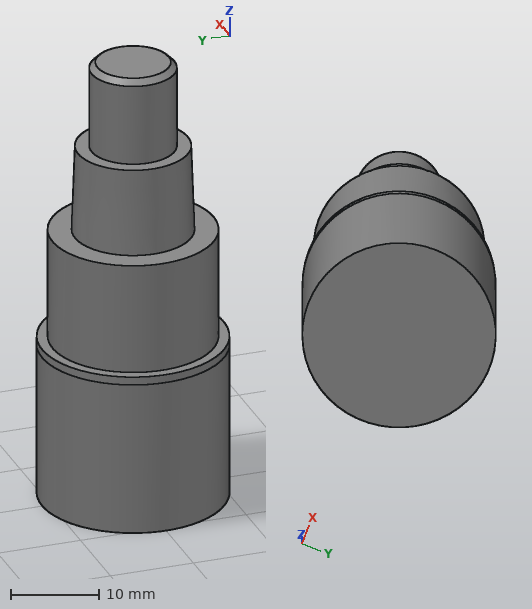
import math

import cadquery as cq

total_height = 54.0
base_height = 18.65
collar_thickness = 0.95
shoulder_top_z = 33.0
neck_top_z = 43.5

base_diameter = 22.0
shoulder_diameter = 19.45
neck_bottom_diameter = 14.0
tip_diameter = 10.0

taper_angle = 2.0
tip_chamfer = 0.7


def tapered_radius(bottom_radius, height):
    """Radius at the top of a stretch that narrows at the taper angle."""
    return bottom_radius - height * math.tan(math.radians(taper_angle))


def make_base():
    """Plain round base on which the stepped spindle stands."""
    return cq.Workplane("XY").circle(base_diameter / 2).extrude(base_height)


def make_spindle():
    """Tapered collar, shoulder, tapered neck and chamfered tip, turned as one piece."""
    collar_top_z = base_height + collar_thickness
    collar_radius = base_diameter / 2
    collar_top_radius = tapered_radius(collar_radius, collar_thickness)
    shoulder_radius = shoulder_diameter / 2
    neck_radius = neck_bottom_diameter / 2
    neck_top_radius = tapered_radius(neck_radius, neck_top_z - shoulder_top_z)
    tip_radius = tip_diameter / 2
    half_profile = (
        cq.Workplane("XZ")
        .moveTo(0, base_height)
        .lineTo(collar_radius, base_height)
        .lineTo(collar_top_radius, collar_top_z)
        .lineTo(shoulder_radius, collar_top_z)
        .lineTo(shoulder_radius, shoulder_top_z)
        .lineTo(neck_radius, shoulder_top_z)
        .lineTo(neck_top_radius, neck_top_z)
        .lineTo(tip_radius, neck_top_z)
        .lineTo(tip_radius, total_height)
        .lineTo(0, total_height)
        .close()
    )
    spindle = half_profile.revolve(360, (0, 0, 0), (0, 1, 0))
    return spindle.faces(">Z").edges().chamfer(tip_chamfer)


base = make_base()
spindle = make_spindle()

result = cq.Compound.makeCompound([base.val(), spindle.val()])